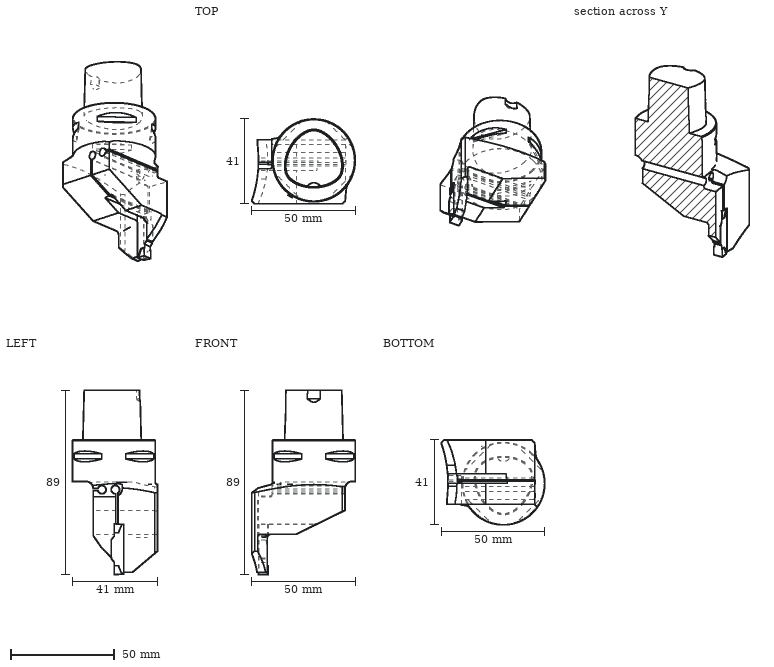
import cadquery as cq
import math

SHANK_LENGTH = 24.0
TOOL_REACH = 65.0

FLANGE_DIAMETER = 40.0
FLANGE_RADIUS = FLANGE_DIAMETER / 2
FLANGE_HEIGHT = 20.0
FLANGE_CHAMFER = 0.4
BLANK_RADIUS = 53.4

SHANK_RADIUS = 14.11
SHANK_TAPER = 1 / 40
LOBE_HEIGHT = 0.9
KEY_RADIUS = 3.65
KEY_CENTER_Y = -14.4
KEY_DEPTH = 4.3
KEY_POINT_DEPTH = 2.9

GROOVE_COUNT = 4
GROOVE_FLOOR_DISTANCE = 17.6
GROOVE_CENTER_Z = -7.9
GROOVE_FLOOR_WIDTH = 2.5
GROOVE_SIDE_ANGLE = 30.0

BLOCK_RIGHT = 15.0
BLOCK_FRONT = -21.0
BLOCK_BACK = 10.1
BLOCK_BOTTOM = -45.5
CORNER_CHAMFER = 1.4
WALL_FLARE = 3.4
NECK_CONE_Z = -21.2
NECK_FILLET_START_Z = -20.3
NECK_CONE_ANGLE = math.radians(15)
RAMP_START_X = -8.5
RAMP_END_Z = -33.9

OUTER_FACE_X = -26.7
OUTER_FACE_RADIUS = 60.0
OUTER_FACE_END_Y = 8.1
OUTER_CORNER_Y = -19.6
INNER_FACE_X = -22.3
INNER_FACE_RADIUS = 48.5
BLADE_BOTTOM = -63.8
BLADE_TIP_Y = -8.9
BLADE_FRONT_Z = -53.6
BLADE_ROOT_FILLET = 1.4

HINGE_Z = -23.9
HINGE_HOLE_RADIUS = 2.0
REAR_HOLE_Y = 5.8
FRONT_HOLE_Y = -0.7
SLIT_WIDTH = 0.9
CLAMP_SLIT_Y = -1.4
NOTCH_WALL_X = -20.2
NOTCH_FLOOR_Z = -27.4
NOTCH_BEND_Y = 0.1
NOTCH_RADIUS = 4.2
NOTCH_FILLET = 1.1
ARM_BACK_Z = -46.0
ARM_MIDDLE = (6.2, -51.6)
ARM_TIP_Z = -56.7

INSERT_LENGTH = 24.65
INSERT_HALF = INSERT_LENGTH / 2
INSERT_CENTER_Z = INSERT_HALF - TOOL_REACH
INSERT_FRONT = -4.7
END_RELIEF = 0.4
RAKE_FACE_Y = -0.1
INSERT_RIDGE_Y = 1.25
RIDGE_TOP_HALF = 4.6
RIDGE_BASE_HALF = 6.2
INSERT_LEFT = -26.5
HEAD_OVERHANG = 0.4
HEAD_START = 8.0
HEAD_NARROW_Y = -2.2
HEAD_WIDE_Y = -3.8

CUT_REACH = 89.0


def arc_x(face_x, radius, y):
    """X of a blade face at y; the face bulges toward +X and is furthest out at Y = 0."""
    return face_x - radius + math.sqrt(radius**2 - y**2)


def prism_along_x(points, x_start, x_end):
    """Prism with a (y, z) outline running from x_start to x_end."""
    return cq.Workplane("YZ", origin=(x_start, 0, 0)).polyline(points).close().extrude(x_end - x_start)


def prism_through(points):
    return prism_along_x(points, -CUT_REACH, CUT_REACH)


def make_shank():
    def lobed_outline(mean_radius):
        def point(t):
            angle = 2 * math.pi * t
            reach = mean_radius - LOBE_HEIGHT * math.sin(3 * angle)
            slope = -3 * LOBE_HEIGHT * math.cos(3 * angle)
            x = reach * math.cos(angle) - slope * math.sin(angle)
            y = reach * math.sin(angle) + slope * math.cos(angle)
            return (x, y)
        return point

    top_radius = SHANK_RADIUS - SHANK_TAPER * SHANK_LENGTH
    shank = (
        cq.Workplane("XY").parametricCurve(lobed_outline(SHANK_RADIUS))
        .workplane(offset=SHANK_LENGTH).parametricCurve(lobed_outline(top_radius))
        .loft()
    )
    drill = (
        cq.Workplane("XZ", origin=(0, KEY_CENTER_Y, SHANK_LENGTH))
        .polyline([(0, 0), (KEY_RADIUS, 0), (KEY_RADIUS, -KEY_DEPTH), (0, -KEY_DEPTH - KEY_POINT_DEPTH)])
        .close().revolve(360, (0, 0), (0, 1))
    )
    return shank.cut(drill)


def gripper_groove(angle):
    depth = FLANGE_RADIUS - GROOVE_FLOOR_DISTANCE
    half_floor = GROOVE_FLOOR_WIDTH / 2
    half_mouth = half_floor + depth * math.tan(math.radians(GROOVE_SIDE_ANGLE))
    return (
        cq.Workplane("XZ", origin=(0, 0, GROOVE_CENTER_Z))
        .polyline([
            (GROOVE_FLOOR_DISTANCE, -half_floor),
            (FLANGE_RADIUS, -half_mouth),
            (FLANGE_RADIUS, half_mouth),
            (GROOVE_FLOOR_DISTANCE, half_floor),
        ])
        .close().extrude(FLANGE_RADIUS, both=True)
        .rotate((0, 0, 0), (0, 0, 1), angle)
    )


def make_neck_envelope():
    """Chamfered flange cylinder running through a fillet into a shallow cone, down to the tool end."""
    tangent = NECK_FILLET_START_Z - NECK_CONE_Z
    arc_end = (
        FLANGE_RADIUS + tangent * math.cos(NECK_CONE_ANGLE),
        NECK_CONE_Z - tangent * math.sin(NECK_CONE_ANGLE),
    )
    rim_z = NECK_CONE_Z - (BLANK_RADIUS - FLANGE_RADIUS) * math.tan(NECK_CONE_ANGLE)
    return (
        cq.Workplane("XZ")
        .moveTo(0, 0).lineTo(FLANGE_RADIUS - FLANGE_CHAMFER, 0)
        .lineTo(FLANGE_RADIUS, -FLANGE_CHAMFER).lineTo(FLANGE_RADIUS, NECK_FILLET_START_Z)
        .tangentArcPoint(arc_end, relative=False)
        .lineTo(BLANK_RADIUS, rim_z).lineTo(BLANK_RADIUS, -TOOL_REACH).lineTo(0, -TOOL_REACH)
        .close().revolve(360, (0, 0), (0, 1))
    )


def make_block():
    flat_x = arc_x(OUTER_FACE_X, OUTER_FACE_RADIUS, OUTER_FACE_END_Y)
    corner_x = arc_x(OUTER_FACE_X, OUTER_FACE_RADIUS, OUTER_CORNER_Y)
    block = (
        cq.Workplane("XY", origin=(0, 0, -FLANGE_HEIGHT))
        .moveTo(corner_x, OUTER_CORNER_Y)
        .lineTo(corner_x + CORNER_CHAMFER, BLOCK_FRONT)
        .lineTo(BLOCK_RIGHT - CORNER_CHAMFER, BLOCK_FRONT)
        .lineTo(BLOCK_RIGHT, BLOCK_FRONT + CORNER_CHAMFER)
        .lineTo(BLOCK_RIGHT, BLOCK_BACK)
        .lineTo(flat_x, BLOCK_BACK)
        .lineTo(flat_x, OUTER_FACE_END_Y)
        .threePointArc((OUTER_FACE_X, 0), (corner_x, OUTER_CORNER_Y))
        .close().extrude(FLANGE_HEIGHT - TOOL_REACH)
    )
    plate = (
        cq.Workplane("XY", origin=(0, 0, -FLANGE_HEIGHT))
        .circle(BLANK_RADIUS).extrude(FLANGE_HEIGHT)
    )
    margin = 0.1
    right_edge = cq.selectors.BoxSelector(
        (BLOCK_RIGHT - margin, -margin - FLANGE_RADIUS, -FLANGE_HEIGHT - margin),
        (BLOCK_RIGHT + margin, BLOCK_BACK, -FLANGE_HEIGHT + margin))
    back_edge = cq.selectors.BoxSelector(
        (-FLANGE_RADIUS, BLOCK_BACK - margin, -FLANGE_HEIGHT - margin),
        (BLOCK_RIGHT, BLOCK_BACK + margin, -FLANGE_HEIGHT + margin))
    flared = block.union(plate).edges(right_edge + back_edge).fillet(WALL_FLARE)
    return flared.intersect(make_neck_envelope())


def underside_relief():
    """Clears everything below the block on the inner side of the blade."""
    end_x = arc_x(INNER_FACE_X, INNER_FACE_RADIUS, -BLANK_RADIUS / 2)
    return (
        cq.Workplane("XY", origin=(0, 0, BLOCK_BOTTOM))
        .moveTo(end_x, -BLANK_RADIUS / 2)
        .threePointArc((INNER_FACE_X, 0), (end_x, BLANK_RADIUS / 2))
        .lineTo(BLANK_RADIUS, BLANK_RADIUS / 2)
        .lineTo(BLANK_RADIUS, -BLANK_RADIUS / 2)
        .close().extrude(-CUT_REACH)
        .faces(">Z").edges("%CIRCLE").fillet(BLADE_ROOT_FILLET)
    )


def underside_ramp():
    return (
        cq.Workplane("XZ")
        .polyline([(RAMP_START_X, BLOCK_BOTTOM), (BLOCK_RIGHT, RAMP_END_Z), (BLOCK_RIGHT, BLOCK_BOTTOM)])
        .close().extrude(CUT_REACH, both=True)
    )


def blade_side_limits():
    """Side outline of the block, blade and clamp arm."""
    return prism_through([
        (BLOCK_FRONT, 0),
        (BLOCK_FRONT, BLADE_FRONT_Z),
        (BLADE_TIP_Y, BLADE_BOTTOM),
        (INSERT_FRONT, BLADE_BOTTOM),
        (INSERT_FRONT, ARM_TIP_Z),
        (INSERT_RIDGE_Y, ARM_TIP_Z),
        ARM_MIDDLE,
        (BLOCK_BACK, ARM_BACK_Z),
        (BLOCK_BACK, -FLANGE_HEIGHT - WALL_FLARE),
        (FLANGE_RADIUS, -FLANGE_HEIGHT - WALL_FLARE),
        (FLANGE_RADIUS, 0),
    ])


def clamp_notch():
    """Notch beside the flange: flat floor, curving up to a plain front wall."""
    bend_z = NOTCH_FLOOR_Z + NOTCH_RADIUS
    front_y = NOTCH_BEND_Y - NOTCH_RADIUS
    bend = NOTCH_RADIUS * math.sqrt(0.5)
    return (
        cq.Workplane("YZ", origin=(NOTCH_WALL_X, 0, 0))
        .moveTo(front_y, 0).lineTo(front_y, bend_z)
        .threePointArc((NOTCH_BEND_Y - bend, bend_z - bend), (NOTCH_BEND_Y, NOTCH_FLOOR_Z))
        .lineTo(FLANGE_RADIUS, NOTCH_FLOOR_Z).lineTo(FLANGE_RADIUS, 0)
        .close().extrude(-CUT_REACH)
        .faces(">X").edges().fillet(NOTCH_FILLET)
    )


def hinge_holes():
    return (
        cq.Workplane("YZ")
        .pushPoints([(REAR_HOLE_Y, HINGE_Z), (FRONT_HOLE_Y, HINGE_Z)])
        .circle(HINGE_HOLE_RADIUS).extrude(CUT_REACH, both=True)
    )


def clamp_slits():
    half = SLIT_WIDTH / 2
    rear_slit = prism_through([
        (REAR_HOLE_Y, HINGE_Z - half), (FLANGE_RADIUS, HINGE_Z - half),
        (FLANGE_RADIUS, HINGE_Z + half), (REAR_HOLE_Y, HINGE_Z + half),
    ])
    clamp_slit = prism_through([
        (CLAMP_SLIT_Y - half, HINGE_Z), (CLAMP_SLIT_Y + half, HINGE_Z),
        (CLAMP_SLIT_Y + half, INSERT_CENTER_Z), (CLAMP_SLIT_Y - half, INSERT_CENTER_Z),
    ])
    return rear_slit.union(clamp_slit)


INSERT_OUTLINE = [
    (y, INSERT_CENTER_Z + offset) for y, offset in [
        (INSERT_FRONT, END_RELIEF - INSERT_HALF),
        (RAKE_FACE_Y, -INSERT_HALF),
        (RAKE_FACE_Y, -RIDGE_BASE_HALF),
        (INSERT_RIDGE_Y, -RIDGE_TOP_HALF),
        (INSERT_RIDGE_Y, RIDGE_TOP_HALF),
        (RAKE_FACE_Y, RIDGE_BASE_HALF),
        (RAKE_FACE_Y, INSERT_HALF),
        (INSERT_FRONT, INSERT_HALF - END_RELIEF),
    ]
]


def make_holder():
    holder = (
        make_block()
        .cut(underside_relief())
        .cut(underside_ramp())
        .intersect(blade_side_limits())
        .cut(clamp_notch())
        .cut(hinge_holes())
        .cut(clamp_slits())
        .cut(prism_through(INSERT_OUTLINE))
        .union(make_shank())
    )
    for index in range(GROOVE_COUNT):
        holder = holder.cut(gripper_groove((index + 0.5) * 360 / GROOVE_COUNT))
    return holder


def make_insert():
    insert = prism_along_x(INSERT_OUTLINE, INSERT_LEFT, INNER_FACE_X)
    wide_share = (RAKE_FACE_Y - HEAD_WIDE_Y) / (RAKE_FACE_Y - INSERT_FRONT)
    wide_half = INSERT_HALF - END_RELIEF * wide_share
    for end in (-1, 1):
        head_outline = [
            (RAKE_FACE_Y, INSERT_CENTER_Z + end * HEAD_START),
            (HEAD_NARROW_Y, INSERT_CENTER_Z + end * HEAD_START),
            (HEAD_WIDE_Y, INSERT_CENTER_Z + end * wide_half),
            (RAKE_FACE_Y, INSERT_CENTER_Z + end * INSERT_HALF),
        ]
        head = prism_along_x(head_outline, INSERT_LEFT - HEAD_OVERHANG, INNER_FACE_X + HEAD_OVERHANG)
        insert = insert.union(head)
    return insert


holder = make_holder()
insert = make_insert()
result = cq.Compound.makeCompound([*holder.solids().vals(), *insert.solids().vals()])